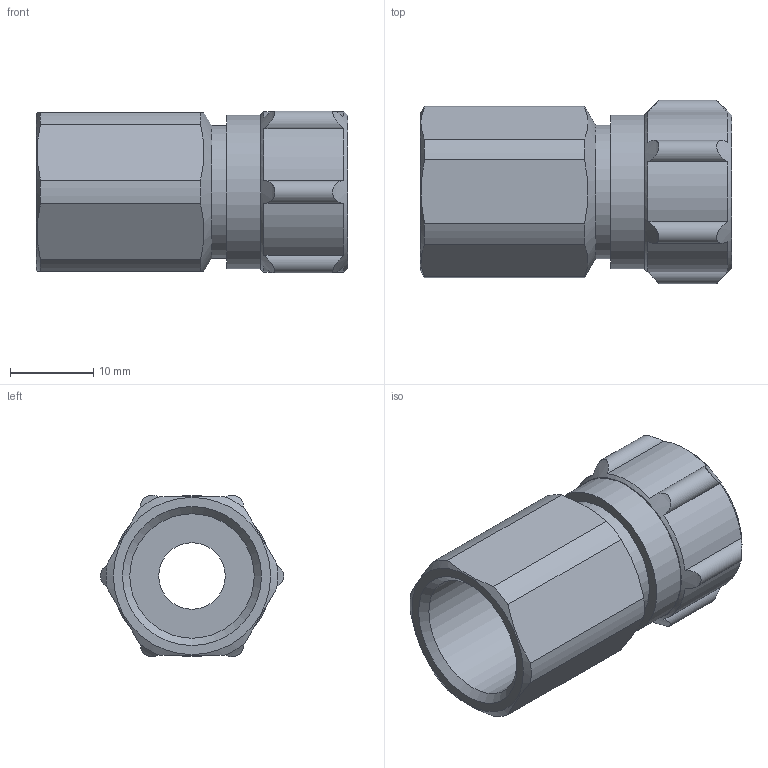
import cadquery as cq
import math

neck_start = 21.06
collar_start = 22.87
nut_start = 26.98
total_length = 37.4

across_flats = 19.1
corner_radius = 20.6 / 2
face_radius = 9.45
hex_bevel_angle = math.radians(30)

neck_radius = 16.0 / 2
collar_radius = 18.5 / 2

nut_radius = 9.7
rib_count = 6
rib_radius = 1.37
rib_center_radius = 9.65
rib_tip_radius = rib_center_radius + rib_radius
nut_front_radius = 9.33
nut_back_radius = 9.22

through_radius = 8.0 / 2
socket_radius = 14.95 / 2
socket_depth = 16.0
socket_mouth_radius = 8.35
socket_bevel_length = socket_mouth_radius - socket_radius


def cylinder(start, end, radius):
    """Solid cylinder on the X axis between two stations."""
    return cq.Workplane("YZ").workplane(offset=start).circle(radius).extrude(end - start)


def turned(profile):
    """Solid of revolution about the X axis from (x, radius) points, closed along the axis."""
    first_x = profile[0][0]
    last_x = profile[-1][0]
    outline = [(first_x, 0), *profile, (last_x, 0)]
    return cq.Workplane("XY").polyline(outline).close().revolve(360, (0, 0, 0), (1, 0, 0))


def hex_body():
    """Hexagonal prism with corners turned down and 30 degree bevels at both ends."""
    front_bevel_length = (corner_radius - face_radius) * math.tan(hex_bevel_angle)
    back_bevel_length = (corner_radius - neck_radius) * math.tan(hex_bevel_angle)
    across_corners = across_flats / math.cos(math.pi / 6)
    prism = cq.Workplane("YZ").polygon(6, across_corners).extrude(neck_start)
    envelope = turned([
        (0, face_radius),
        (front_bevel_length, corner_radius),
        (neck_start - back_bevel_length, corner_radius),
        (neck_start, neck_radius),
    ])
    return prism.intersect(envelope)


def coupling_nut():
    """Round nut with six rounded ribs, beveled at 45 degrees at both ends."""
    nut = cylinder(nut_start, total_length, nut_radius)
    for index in range(rib_count):
        rib = cylinder(nut_start, total_length, rib_radius).translate((0, rib_center_radius, 0))
        nut = nut.union(rib.rotate((0, 0, 0), (1, 0, 0), index * 360 / rib_count))
    envelope = turned([
        (nut_start, nut_front_radius),
        (nut_start + rib_tip_radius - nut_front_radius, rib_tip_radius),
        (total_length - (rib_tip_radius - nut_back_radius), rib_tip_radius),
        (total_length, nut_back_radius),
    ])
    return nut.intersect(envelope)


def bores():
    """Beveled socket in the hexagonal end and a smaller hole through the whole part."""
    socket = turned([
        (0, socket_mouth_radius),
        (socket_bevel_length, socket_radius),
        (socket_depth, socket_radius),
    ])
    return socket.union(cylinder(0, total_length, through_radius))


neck = cylinder(neck_start, collar_start, neck_radius)
collar = cylinder(collar_start, nut_start, collar_radius)
result = hex_body().union(neck).union(collar).union(coupling_nut()).cut(bores())